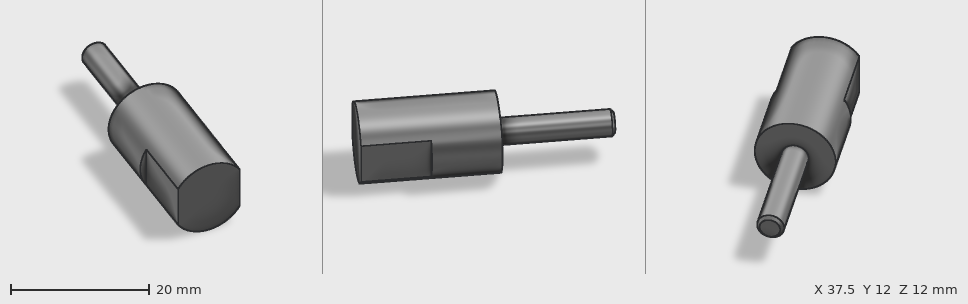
import cadquery as cq

total_length = 37.5
body_diameter = 12.0
pin_diameter = 4.0
pin_length = 17.0
pin_chamfer = 0.5
flat_length = 10.25
width_across_flats = 10.0

body_length = total_length - pin_length


def make_pin():
    """Slender pin with a chamfered free end at X = 0."""
    pin = cq.Workplane("YZ").circle(pin_diameter / 2).extrude(pin_length)
    return pin.faces("<X").chamfer(pin_chamfer)


def make_body():
    """Cylindrical body behind the pin."""
    return (
        cq.Workplane("YZ", origin=(pin_length, 0, 0))
        .circle(body_diameter / 2)
        .extrude(body_length)
    )


def make_flat_cutter(side):
    """Block that cuts one wrench flat; side is -1 or +1 along Y."""
    cut_depth = (body_diameter - width_across_flats) / 2
    center_x = total_length - flat_length / 2
    center_y = side * (width_across_flats + cut_depth) / 2
    return cq.Workplane("XY").box(flat_length, cut_depth, body_diameter).translate(
        (center_x, center_y, 0)
    )


result = make_pin().union(make_body())
for side in (-1, 1):
    result = result.cut(make_flat_cutter(side))